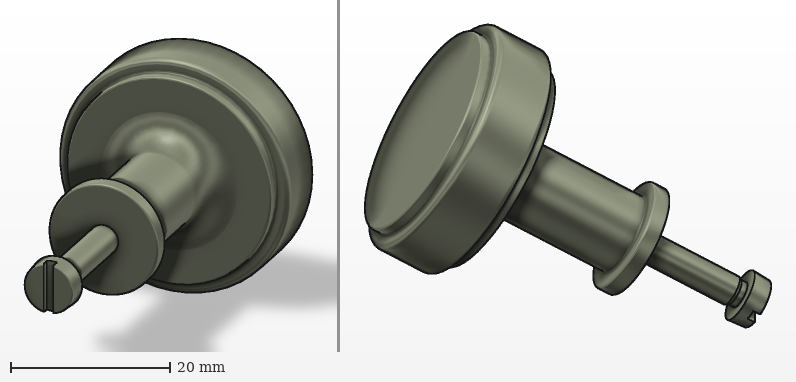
import cadquery as cq

total_length = 49.6
screw_length = 17.6
knob_length = total_length - screw_length

tread_diameter = 31.6
tread_width = 7.95
tread_round = 0.75
rim_diameter = 27.95
rim_width = 1.55
wheel_width = tread_width + 2 * rim_width
wheel_front = knob_length - wheel_width

stem_diameter = 10.6
stem_flare_radius = 3.95
flange_diameter = 15.0
flange_thickness = 2.25
small_round = 0.3

shank_diameter = 4.0
neck_diameter = 3.5
neck_length = 0.85
neck_taper_length = 0.45
head_diameter = 7.0
head_front_diameter = 6.65
head_height = 2.65
head_round = 0.2
slot_width = 1.35
slot_depth = 1.1

selection_margin = 0.05


def cylinder_y(diameter, start, length):
    """Cylinder on the Y axis running from start toward +Y."""
    return cq.Workplane("XZ", origin=(0, start, 0)).circle(diameter / 2).extrude(-length)


def circle_at(y, diameter):
    """Selector for the circular edge of a given diameter lying in the plane at y."""
    outer = diameter / 2 + selection_margin
    inner = diameter / 2 - selection_margin

    def edges_within(reach):
        low_corner = (-reach, y - selection_margin, -reach)
        high_corner = (reach, y + selection_margin, reach)
        return cq.selectors.BoxSelector(low_corner, high_corner, boundingbox=True)

    return edges_within(outer) - edges_within(inner)


def make_knob():
    tread_front = wheel_front + rim_width
    tread_back = tread_front + tread_width
    stem_length = wheel_front - flange_thickness

    body = cylinder_y(flange_diameter, 0, flange_thickness)
    body = body.union(cylinder_y(stem_diameter, flange_thickness, stem_length))
    body = body.union(cylinder_y(rim_diameter, wheel_front, wheel_width))
    body = body.union(cylinder_y(tread_diameter, tread_front, tread_width))

    body = body.edges(circle_at(wheel_front, stem_diameter)).fillet(stem_flare_radius)

    for y in (tread_front, tread_back):
        body = body.edges(circle_at(y, tread_diameter)).fillet(tread_round)

    small_edges = [
        (0, flange_diameter),
        (flange_thickness, flange_diameter),
        (flange_thickness, stem_diameter),
        (wheel_front, rim_diameter),
        (tread_front, rim_diameter),
        (tread_back, rim_diameter),
        (knob_length, rim_diameter),
    ]
    for y, diameter in small_edges:
        body = body.edges(circle_at(y, diameter)).fillet(small_round)
    return body


def make_screw():
    head_front = -screw_length
    head_back = head_front + head_height
    neck_back = head_back + neck_length
    shank_front = neck_back + neck_taper_length

    body = (
        cq.Workplane("XY")
        .moveTo(0, head_front)
        .lineTo(head_front_diameter / 2, head_front)
        .lineTo(head_diameter / 2, head_back)
        .lineTo(neck_diameter / 2, head_back)
        .lineTo(neck_diameter / 2, neck_back)
        .lineTo(shank_diameter / 2, shank_front)
        .lineTo(shank_diameter / 2, 0)
        .lineTo(0, 0)
        .close()
        .revolve(360, (0, 0, 0), (0, 1, 0))
    )
    body = body.edges(circle_at(head_front, head_front_diameter)).fillet(head_round)

    slot = cq.Workplane("XY").box(slot_width, slot_depth, head_diameter)
    return body.cut(slot.translate((0, head_front + slot_depth / 2, 0)))


knob = make_knob()
screw = make_screw()
result = cq.Compound.makeCompound([knob.val(), screw.val()])